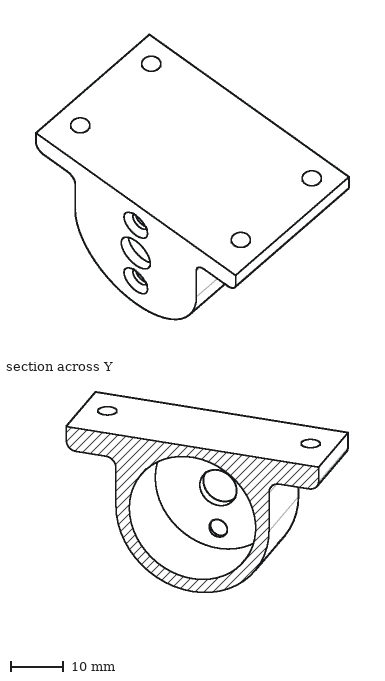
import cadquery as cq

length = 51.0
depth = 32.0
plate_thickness = 5.0
edge_radius = 2.0
plate_hole_diameter = 3.6
plate_hole_spacing_x = 41.0
plate_hole_spacing_y = 20.0

housing_radius = 15.5
axis_to_top = 15.0
bore_diameter = 25.4
front_wall = 2.0

shaft_hole_diameter = 7.4
screw_hole_diameter = 3.6
countersink_diameter = 6.0
countersink_angle = 90
screw_offset = 8.5

front_y = -depth / 2
plate_bottom = axis_to_top - plate_thickness
plate_holes_y = front_wall / 2


def make_body():
    """Extrude the plate and housing outline along Y, then round its corners."""
    body = (
        cq.Workplane("XZ", origin=(0, front_y, 0))
        .moveTo(-length / 2, axis_to_top)
        .lineTo(length / 2, axis_to_top)
        .lineTo(length / 2, plate_bottom)
        .lineTo(housing_radius, plate_bottom)
        .lineTo(housing_radius, 0)
        .threePointArc((0, -housing_radius), (-housing_radius, 0))
        .lineTo(-housing_radius, plate_bottom)
        .lineTo(-length / 2, plate_bottom)
        .close()
        .extrude(-depth)
    )
    plate_bottom_corners = cq.selectors.BoxSelector(
        (-length, -depth, plate_bottom - 0.5), (length, depth, plate_bottom + 0.5)
    )
    return body.edges("|Y").edges(plate_bottom_corners).fillet(edge_radius)


def cut_bore(body):
    """Hollow the housing from the back, leaving the front wall."""
    bore = (
        cq.Workplane("XZ", origin=(0, front_y + front_wall, 0))
        .circle(bore_diameter / 2)
        .extrude(front_wall - depth)
    )
    return body.cut(bore)


def cut_front_holes(body):
    """Drill the shaft hole and the two countersunk screw holes."""
    front = cq.Workplane("XZ", origin=(0, front_y, 0))
    shaft_hole = front.circle(shaft_hole_diameter / 2).extrude(-front_wall)
    return (
        body.cut(shaft_hole)
        .copyWorkplane(front)
        .pushPoints([(0, screw_offset), (0, -screw_offset)])
        .cskHole(screw_hole_diameter, countersink_diameter, countersink_angle, depth=front_wall)
    )


def cut_plate_holes(body):
    """Drill the four mounting holes through the plate."""
    drills = (
        cq.Workplane("XY", origin=(0, plate_holes_y, plate_bottom))
        .rarray(plate_hole_spacing_x, plate_hole_spacing_y, 2, 2)
        .circle(plate_hole_diameter / 2)
        .extrude(plate_thickness)
    )
    return body.cut(drills)


result = cut_plate_holes(cut_front_holes(cut_bore(make_body())))